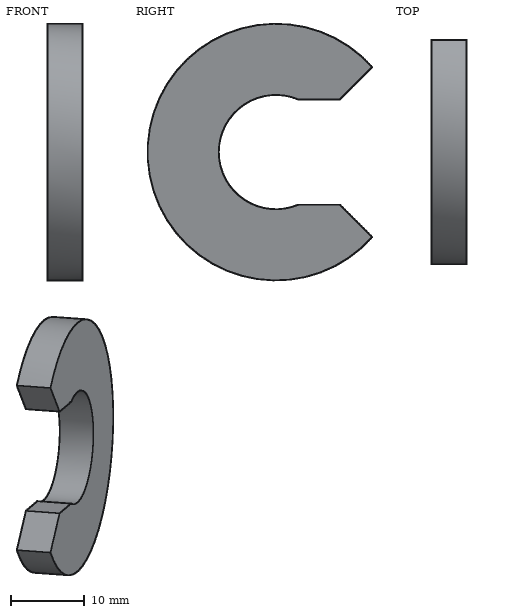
import cadquery as cq
import math

thickness = 4.8
outer_radius = 17.5
bore_radius = 7.77
slot_width = 14.28
tip_y = 13.12

slot_half = slot_width / 2
tip_z = math.sqrt(outer_radius**2 - tip_y**2)
flare_start_y = tip_y - (tip_z - slot_half)
bore_edge_y = math.sqrt(bore_radius**2 - slot_half**2)

profile = (
    cq.Workplane("YZ")
    .moveTo(tip_y, tip_z)
    .threePointArc((-outer_radius, 0), (tip_y, -tip_z))
    .lineTo(flare_start_y, -slot_half)
    .lineTo(bore_edge_y, -slot_half)
    .threePointArc((-bore_radius, 0), (bore_edge_y, slot_half))
    .lineTo(flare_start_y, slot_half)
    .close()
)

result = profile.extrude(thickness)